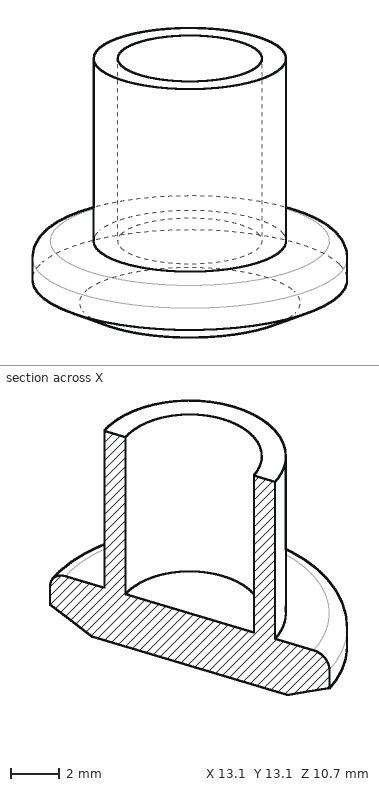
import cadquery as cq

flange_diameter = 13.1
flange_height = 2.7
flange_round = 0.75
bevel_height = 1.0
bevel_width = 1.96

stem_diameter = 8.0
stem_height = 8.0
bore_diameter = 6.0
bore_depth = stem_height


def make_flange():
    """Disc revolved from its half section: bevel, straight band, rounded rim."""
    radius = flange_diameter / 2
    return (
        cq.Workplane("XZ")
        .lineTo(radius - bevel_width, 0)
        .lineTo(radius, bevel_height)
        .lineTo(radius, flange_height - flange_round)
        .radiusArc((radius - flange_round, flange_height), -flange_round)
        .lineTo(0, flange_height)
        .close()
        .revolve(360, (0, 0), (0, 1))
    )


def make_stem():
    """Round post standing on the flange."""
    post = cq.Workplane("XY").workplane(offset=flange_height)
    return post.circle(stem_diameter / 2).extrude(stem_height)


def make_bore():
    """Blind bore cut down from the top of the stem."""
    top = flange_height + stem_height
    bore = cq.Workplane("XY").workplane(offset=top)
    return bore.circle(bore_diameter / 2).extrude(-bore_depth)


result = make_flange().union(make_stem()).cut(make_bore())